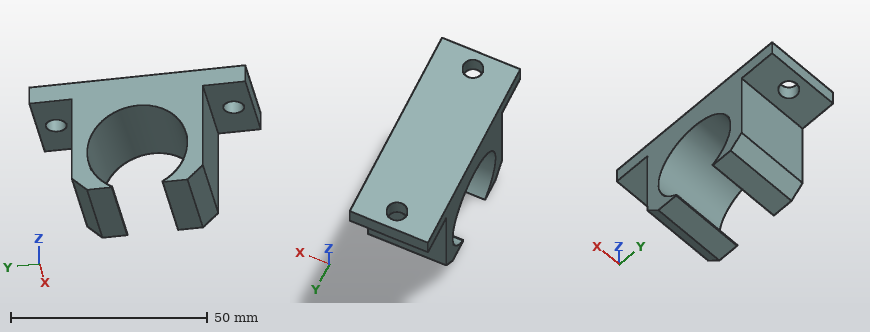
import cadquery as cq
import math

length = 56.0
width = 22.0
height = 33.5
plate_thickness = 5.0
screw_hole_diameter = 5.3
screw_hole_spacing = 46.05

body_length = 34.0
corner_chamfer = 4.0
bore_diameter = 26.0
bore_depth = 22.0
mouth_angle = 60.0

plate = cq.Workplane("XY").box(width, length, plate_thickness, centered=(True, True, False))
plate = plate.translate((0, 0, -plate_thickness))

body = cq.Workplane("XY").box(width, body_length, height, centered=(True, True, False))
body = body.translate((0, 0, -height))
body = body.faces("<Z").edges("|X").chamfer(corner_chamfer)

bore = (
    cq.Workplane("YZ")
    .center(0, -bore_depth)
    .circle(bore_diameter / 2)
    .extrude(width / 2, both=True)
)
mouth_height = height - bore_depth
mouth_half_width = mouth_height * math.tan(math.radians(mouth_angle / 2))
mouth = (
    cq.Workplane("YZ")
    .moveTo(0, -bore_depth)
    .lineTo(mouth_half_width, -height)
    .lineTo(-mouth_half_width, -height)
    .close()
    .extrude(width / 2, both=True)
)

screw_holes = (
    cq.Workplane("XY")
    .rarray(0.55, screw_hole_spacing, 1, 2)
    .circle(screw_hole_diameter / 2)
    .extrude(-plate_thickness)
)

result = plate.union(body).cut(bore).cut(mouth).cut(screw_holes)